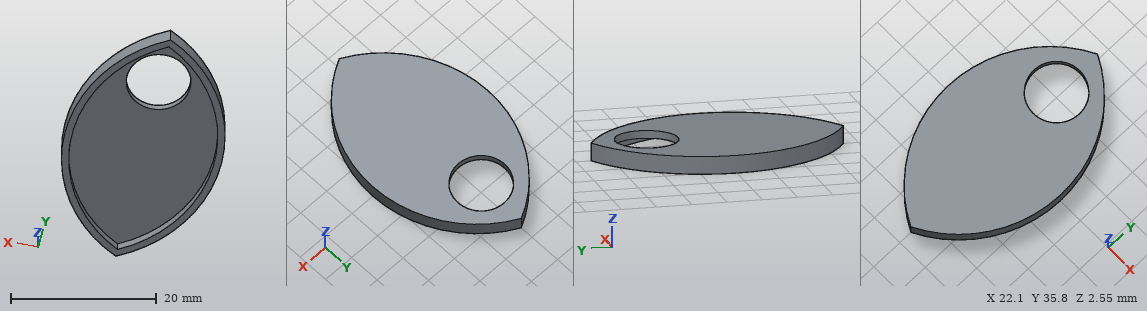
import cadquery as cq
import math

length = 35.8
width = 22.1
thickness = 2.55
plate_thickness = 1.1
rim_width = 1.0
hole_diameter = 8.88
hole_offset = 10.03

side_radius = ((length / 2) ** 2 + (width / 2) ** 2) / width
arc_center_offset = side_radius - width / 2


def pointed_oval(inset, height):
    """Prism from Z = 0 whose two arcs are inset evenly from the outline."""
    radius = side_radius - inset
    half_length = math.sqrt(radius ** 2 - arc_center_offset ** 2)
    half_width = width / 2 - inset
    return (
        cq.Workplane("XY")
        .moveTo(0, -half_length)
        .threePointArc((half_width, 0), (0, half_length))
        .threePointArc((-half_width, 0), (0, -half_length))
        .close()
        .extrude(height)
    )


hollow_depth = thickness - plate_thickness
body = pointed_oval(0, thickness)
hollow = pointed_oval(rim_width, hollow_depth)

hole = (
    cq.Workplane("XY")
    .center(0, hole_offset)
    .circle(hole_diameter / 2)
    .extrude(thickness)
)

result = body.cut(hollow).cut(hole)